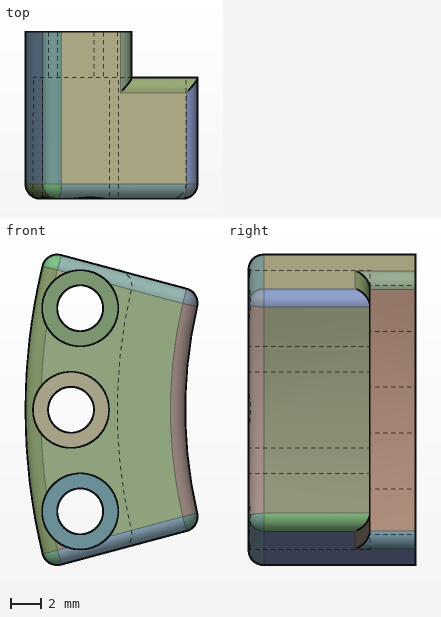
import cadquery as cq
import math

outer_radius = 40.35
inner_radius = 29.83
half_angle = 15.0
depth = 11.0
edge_radius = 1.0

step_radius = 34.32
step_depth = 3.0

hole_inset = 3.0
pitch_radius = outer_radius - hole_inset
hole_angle = 10.3
hole_diameter = 3.0
bore_diameter = 5.0
back_web = 3.0


def polar(radius, angle):
    """Point in the XZ plane at an angle from the -X direction."""
    a = math.radians(angle)
    return (-radius * math.cos(a), radius * math.sin(a))


def sector(large_radius, small_radius, length):
    """Ring sector from the front face at Y = 0 to Y = length."""
    return (
        cq.Workplane("XZ")
        .moveTo(*polar(large_radius, -half_angle))
        .threePointArc(polar(large_radius, 0), polar(large_radius, half_angle))
        .lineTo(*polar(small_radius, half_angle))
        .threePointArc(polar(small_radius, 0), polar(small_radius, -half_angle))
        .close()
        .extrude(-length)
    )


def rounded_sector(small_radius, length, round_back_sides=False):
    """Ring sector with rounded corners and front rim, optionally with rounded straight back edges."""
    body = sector(outer_radius, small_radius, length)
    rounded_edges = body.edges("|Y")
    if round_back_sides:
        rounded_edges = rounded_edges.add(body.faces(">Y").edges("%LINE"))
    body = rounded_edges.fillet(edge_radius)
    return body.faces("<Y").edges().fillet(edge_radius)


def hole_cutters(diameter, length):
    """Cylinders at the three hole positions, starting at the front face."""
    centers = [polar(pitch_radius, angle) for angle in (-hole_angle, 0, hole_angle)]
    return cq.Workplane("XZ").pushPoints(centers).circle(diameter / 2).extrude(-length)


front_block = rounded_sector(inner_radius, depth - step_depth, round_back_sides=True)
back_block = rounded_sector(step_radius, depth)
result = front_block.union(back_block)
result = result.cut(hole_cutters(hole_diameter, depth))
result = result.cut(hole_cutters(bore_diameter, depth - back_web))